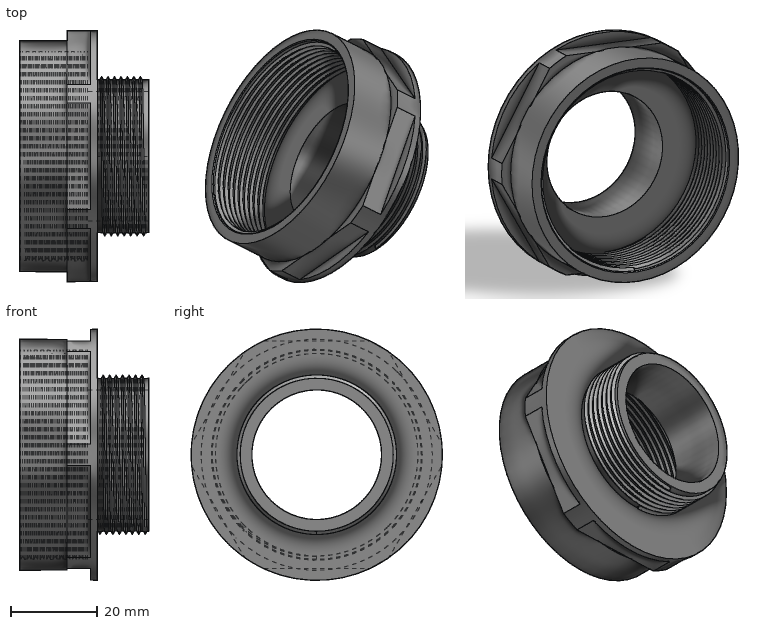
import cadquery as cq

total_length = 30.0
collar_length = 11.0
hex_end = 16.45
flange_end = 18.1

flange_diameter = 58.3
collar_diameter = 53.65
socket_diameter = 48.5
spigot_diameter = 35.5
through_diameter = 30.0
across_flats = 52.8
socket_depth = 15.8
mouth_chamfer = 0.25

thread_turns = 7
thread_length = 10.5
thread_pitch = thread_length / thread_turns
ridge_height = 0.75
ridge_width = 0.9
ridge_root = 0.1
spigot_thread_start = flange_end + 0.6
socket_turns = 10
socket_thread_start = 0.75


def cylinder(diameter, start, end):
    """Solid cylinder on the X axis between two stations."""
    return cq.Workplane("YZ").workplane(offset=start).circle(diameter / 2).extrude(end - start)


def thread_ridge(diameter, start, turns, outward):
    """Helical triangular ridge starting at the bottom (-Z) of a cylinder."""
    radius = diameter / 2
    crest = radius + outward * ridge_height
    root = radius - outward * ridge_root
    root_width = ridge_width * (ridge_height + ridge_root) / ridge_height
    helix = cq.Wire.makeHelix(thread_pitch, turns * thread_pitch, radius)
    ridge = (
        cq.Workplane("XZ")
        .polyline([(root, -root_width / 2), (crest, 0), (root, root_width / 2)])
        .close()
        .sweep(cq.Workplane(helix), isFrenet=True)
    )
    return ridge.rotate((0, 0, 0), (0, 1, 0), 90).translate((start, 0, 0))


def hexagon_section():
    """Hexagon with flats facing +Z and -Z, its corners rounded to the flange diameter."""
    disc = cylinder(flange_diameter, collar_length, hex_end)
    hexagon = (
        cq.Workplane("YZ")
        .workplane(offset=collar_length)
        .polygon(6, across_flats, circumscribed=True)
        .extrude(hex_end - collar_length)
        .rotate((0, 0, 0), (1, 0, 0), 30)
    )
    return disc.intersect(hexagon)


def mouth_cone():
    """Cone that breaks the sharp edge at the mouth of the socket."""
    mouth_diameter = socket_diameter + 2 * mouth_chamfer
    return cq.Workplane("YZ").circle(mouth_diameter / 2).extrude(mouth_chamfer, taper=45)


body = cylinder(collar_diameter, 0, collar_length)
body = body.union(hexagon_section())
body = body.union(cylinder(flange_diameter, hex_end, flange_end))
body = body.union(cylinder(spigot_diameter, flange_end, total_length))

body = body.cut(cylinder(socket_diameter, 0, socket_depth))
body = body.cut(mouth_cone())
body = body.cut(cylinder(through_diameter, 0, total_length))

body = body.union(thread_ridge(spigot_diameter, spigot_thread_start, thread_turns, 1))
result = body.union(thread_ridge(socket_diameter, socket_thread_start, socket_turns, -1))